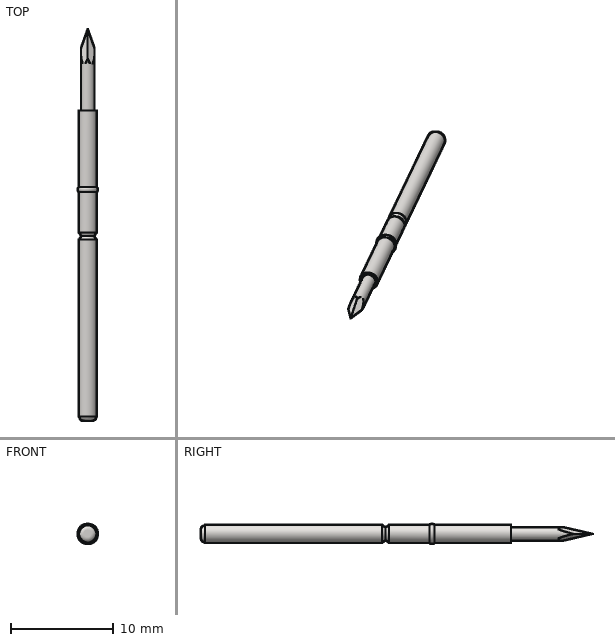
import cadquery as cq


total_length = 38.4
plunger_length = 8.0
barrel_length = total_length - plunger_length
collar_start = 22.4
collar_width = 0.5
groove_start = 17.75
groove_width = 0.7

barrel_radius = 0.9
collar_radius = 1.0
plunger_radius = 0.675
tail_face_radius = 0.4

tail_rounding = 0.45
groove_depth = 0.22
groove_hollow = 0.04

side_ridge_length = 1.9
top_ridge_length = 2.9


def cylinder_along_y(radius, start, length):
    """Cylinder on the Y axis from `start` towards +Y."""
    return cq.Workplane("XZ", origin=(0, start, 0)).circle(radius).extrude(-length)


def make_barrel():
    """Turned barrel: stepped round tail, V-groove with hollow flanks and bulged collar."""
    groove_bottom = (barrel_radius - groove_depth, groove_start + groove_width / 2)
    groove_end = groove_start + groove_width
    collar_end = collar_start + collar_width
    collar_middle = collar_start + collar_width / 2
    profile = (
        cq.Workplane("XY")
        .lineTo(tail_face_radius, 0)
        .radiusArc((tail_face_radius + tail_rounding, tail_rounding), -tail_rounding)
        .lineTo(barrel_radius, tail_rounding)
        .lineTo(barrel_radius, groove_start)
        .sagittaArc(groove_bottom, groove_hollow)
        .sagittaArc((barrel_radius, groove_end), groove_hollow)
        .lineTo(barrel_radius, collar_start)
        .threePointArc((collar_radius, collar_middle), (barrel_radius, collar_end))
        .lineTo(barrel_radius, barrel_length)
        .lineTo(0, barrel_length)
        .close()
    )
    return profile.revolve(360, (0, 0, 0), (0, 1, 0))


def make_point_envelope():
    """Four-sided pyramid with its apex at the tip and its base at the barrel mouth."""
    half_width = plunger_radius * plunger_length / side_ridge_length
    half_height = plunger_radius * plunger_length / top_ridge_length
    corners = [(half_width, 0), (0, half_height), (-half_width, 0), (0, -half_height)]
    base = [cq.Vector(x, barrel_length, z) for x, z in corners]
    apex = cq.Vector(0, total_length, 0)

    faces = [cq.Face.makeFromWires(cq.Wire.makePolygon(base, close=True))]
    for index, corner in enumerate(base):
        next_corner = base[(index + 1) % len(base)]
        outline = cq.Wire.makePolygon([corner, next_corner, apex], close=True)
        faces.append(cq.Face.makeFromWires(outline))
    return cq.Workplane(cq.Solid.makeSolid(cq.Shell.makeShell(faces)))


def make_plunger():
    """Round plunger ground to a four-sided point."""
    rod = cylinder_along_y(plunger_radius, barrel_length, plunger_length)
    return rod.intersect(make_point_envelope())


result = make_barrel().union(make_plunger())